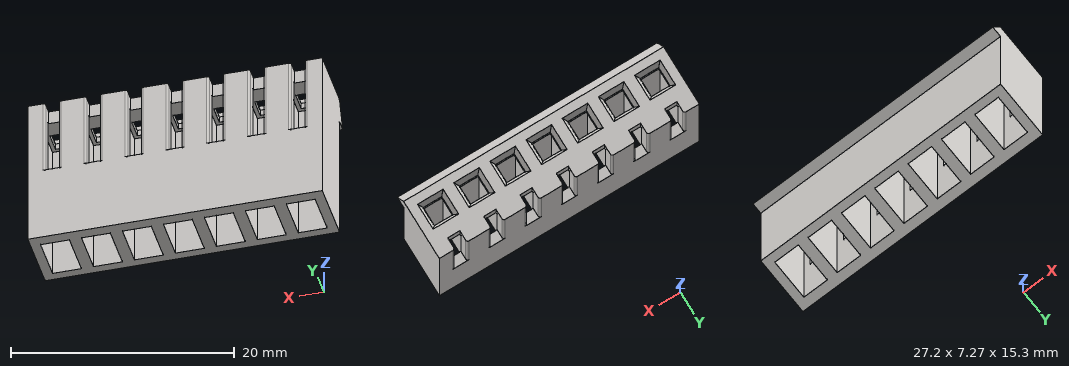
import cadquery as cq

length = 27.25
height = 15.3
total_depth = 7.27
body_depth = 6.13

ramp_height = 2.62

position_count = 7
pitch = 3.79

mouth_size = 2.67
mouth_depth = 0.8
throat_size = 1.93
throat_depth = 0.6
cavity_to_back = 3.92
chamber_width = mouth_size
back_wall = 1.04

slot_width = 1.25
slot_overlap = 0.2
slot_depth = back_wall + slot_overlap
slot_height = height / 2
slot_edge_radius = 0.22

front_y = -body_depth
ramp_tip_y = -total_depth
cavity_y = -cavity_to_back
position_xs = [(i - (position_count - 1) / 2) * pitch for i in range(position_count)]


def make_body():
    """Block with an undercut ramp along its top front edge."""
    ramp_bottom_z = height - ramp_height
    profile = [
        (0, 0),
        (front_y, 0),
        (front_y, ramp_bottom_z),
        (ramp_tip_y, ramp_bottom_z),
        (front_y, height),
        (0, height),
    ]
    outline = cq.Workplane("YZ").polyline(profile).close()
    return outline.extrude(length / 2, both=True)


def make_cavity(x):
    """Tapered mouth and square throat above a chamber that runs through the base."""
    throat_top_z = height - mouth_depth
    throat_bottom_z = throat_top_z - throat_depth
    mouth = (
        cq.Workplane("XY", origin=(x, cavity_y, throat_top_z))
        .rect(throat_size, throat_size)
        .workplane(offset=mouth_depth)
        .rect(mouth_size, mouth_size)
        .loft(ruled=True)
    )
    throat = (
        cq.Workplane("XY", origin=(x, cavity_y, throat_bottom_z))
        .rect(throat_size, throat_size)
        .extrude(throat_depth)
    )
    chamber_front_y = cavity_y - chamber_width / 2
    chamber_length = -back_wall - chamber_front_y
    chamber = (
        cq.Workplane("XY", origin=(x, chamber_front_y + chamber_length / 2, 0))
        .rect(chamber_width, chamber_length)
        .extrude(throat_bottom_z)
    )
    return mouth.union(throat).union(chamber)


def make_back_slot(x):
    """Slot with rounded back edges, open at the top and at the back."""
    half_width = slot_width / 2
    half_opening = half_width + slot_edge_radius
    return (
        cq.Workplane("XY", origin=(x, 0, height - slot_height))
        .moveTo(-half_width, -slot_depth)
        .lineTo(half_width, -slot_depth)
        .lineTo(half_width, -slot_edge_radius)
        .radiusArc((half_opening, 0), slot_edge_radius)
        .lineTo(-half_opening, 0)
        .radiusArc((-half_width, -slot_edge_radius), slot_edge_radius)
        .close()
        .extrude(slot_height)
    )


result = make_body()
for position_x in position_xs:
    result = result.cut(make_cavity(position_x))
    result = result.cut(make_back_slot(position_x))